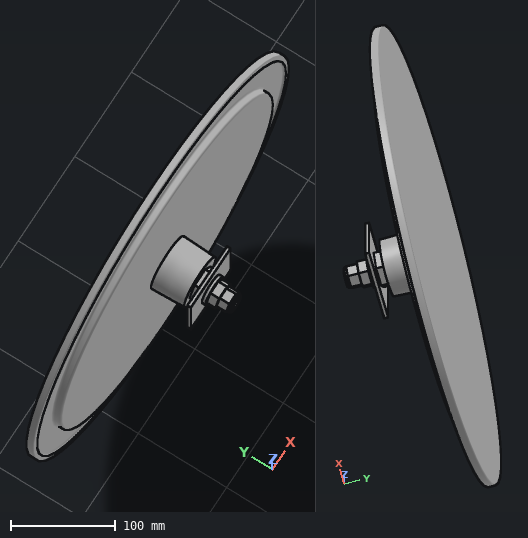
import cadquery as cq
import math


RIM_RADIUS = 226.0
RIM_FRONT = 9.0
RIM_FILLET = 1.5
RECESS_RADIUS = 219.5
RAISED_RADIUS = 187.5
RAISED_FRONT = 16.0
DISH_FILLET = 2.5
PANEL_FRONT = RIM_FRONT - DISH_FILLET

HUB_BASE_RADIUS = 29.5
HUB_END_RADIUS = 28.0
HUB_FRONT = 52.5

HEX_SIDES = 6
LOCK_NUT_CORNER_RADIUS = 18.5
LOCK_NUT_FRONT = 60.5
PLATE_SIDE = 70.0
PLATE_FRONT = 64.5
WASHER_RADIUS = 16.0
WASHER_FRONT = 68.5
MAIN_NUT_CORNER_RADIUS = 14.0
MAIN_NUT_FRONT = 78.5
END_NUT_CORNER_RADIUS = 11.7
END_NUT_FRONT = 89.5
TIP_RADIUS = END_NUT_CORNER_RADIUS * math.cos(math.pi / HEX_SIDES)
TIP_CHAMFER = 1.5
TIP_FRONT = 93.0


def plane_at(depth):
    """Plane facing -Y at the given depth, with local x along +X."""
    return cq.Workplane("XZ", origin=(0, -depth, 0))


def make_hex(corner_radius, back, front):
    """Hexagonal prism with two corners on the X axis."""
    return plane_at(back).polygon(HEX_SIDES, 2 * corner_radius).extrude(front - back)


def make_dish():
    """Stepped disc with a quarter round at every step, revolved about the Y axis."""
    rim_flat = RIM_RADIUS - RIM_FILLET
    panel_radius = RECESS_RADIUS - DISH_FILLET
    root_radius = RAISED_RADIUS + DISH_FILLET
    face_radius = RAISED_RADIUS - DISH_FILLET
    outline = (
        cq.Workplane("XY")
        .lineTo(rim_flat, 0)
        .radiusArc((RIM_RADIUS, -RIM_FILLET), RIM_FILLET)
        .lineTo(RIM_RADIUS, RIM_FILLET - RIM_FRONT)
        .radiusArc((rim_flat, -RIM_FRONT), RIM_FILLET)
        .lineTo(RECESS_RADIUS, -RIM_FRONT)
        .radiusArc((panel_radius, -PANEL_FRONT), -DISH_FILLET)
        .lineTo(root_radius, -PANEL_FRONT)
        .radiusArc((RAISED_RADIUS, -PANEL_FRONT - DISH_FILLET), -DISH_FILLET)
        .lineTo(RAISED_RADIUS, DISH_FILLET - RAISED_FRONT)
        .radiusArc((face_radius, -RAISED_FRONT), DISH_FILLET)
        .lineTo(0, -RAISED_FRONT)
        .close()
    )
    return outline.revolve(360, (0, 0, 0), (0, 1, 0))


def make_hub():
    outline = (
        cq.Workplane("XY", origin=(0, -RAISED_FRONT, 0))
        .lineTo(HUB_BASE_RADIUS, 0)
        .lineTo(HUB_END_RADIUS, RAISED_FRONT - HUB_FRONT)
        .lineTo(0, RAISED_FRONT - HUB_FRONT)
        .close()
    )
    return outline.revolve(360, (0, 0, 0), (0, 1, 0))


def make_plate():
    thickness = PLATE_FRONT - LOCK_NUT_FRONT
    return plane_at(LOCK_NUT_FRONT).rect(PLATE_SIDE, PLATE_SIDE).extrude(thickness)


def make_washer():
    return plane_at(PLATE_FRONT).circle(WASHER_RADIUS).extrude(WASHER_FRONT - PLATE_FRONT)


def make_tip():
    tip = plane_at(END_NUT_FRONT).circle(TIP_RADIUS).extrude(TIP_FRONT - END_NUT_FRONT)
    return tip.faces("<Y").chamfer(TIP_CHAMFER)


dish = make_dish()
hub = make_hub()
lock_nut = make_hex(LOCK_NUT_CORNER_RADIUS, HUB_FRONT, LOCK_NUT_FRONT)
plate = make_plate()
washer = make_washer()
main_nut = make_hex(MAIN_NUT_CORNER_RADIUS, WASHER_FRONT, MAIN_NUT_FRONT)
end_nut = make_hex(END_NUT_CORNER_RADIUS, MAIN_NUT_FRONT, END_NUT_FRONT)
tip = make_tip()

result = cq.Compound.makeCompound([
    dish.val(),
    hub.val(),
    lock_nut.val(),
    plate.val(),
    washer.val(),
    main_nut.val(),
    end_nut.val(),
    tip.val(),
])